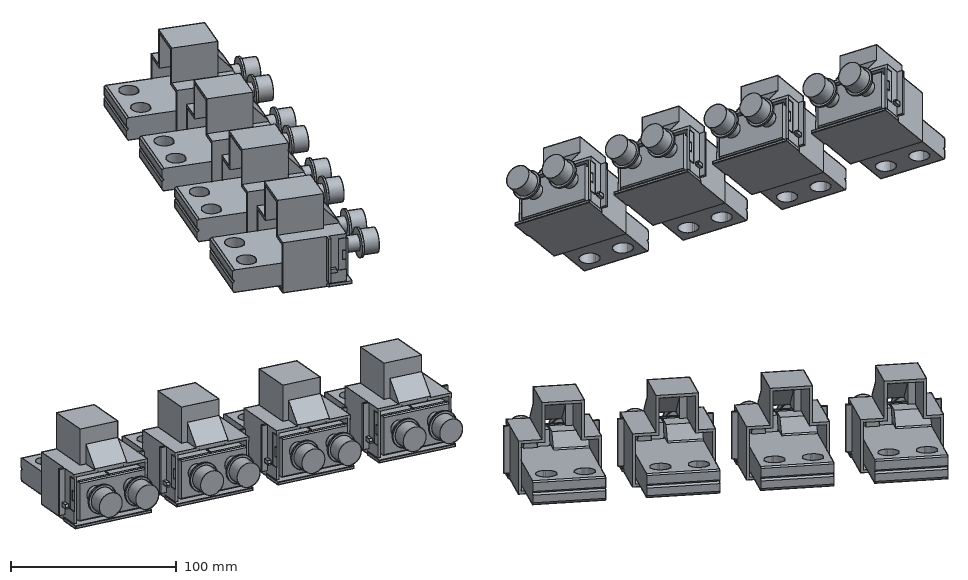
import cadquery as cq

ROW_LENGTH = 268.5
TERMINAL_COUNT = 4

WALL = 2.0
SLEEVE_WIDTH = 51.0
SLEEVE_DEPTH = 40.3
SLEEVE_HEIGHT = 34.0

TOWER_WIDTH = 26.0
TOWER_LEFT = -11.0
TOWER_DEPTH = 29.3
HOUSING_HEIGHT = 57.7

DUCT_WIDTH = 22.0
DUCT_INNER_WIDTH = 17.7
DUCT_TOP = 47.0
DUCT_HEEL = 0.8
DUCT_ROOF_DROP = 2.7

FLANGE_SPAN = 58.5
FLANGE_THICKNESS = 1.5
FLANGE_BOTTOM = 4.0
FLANGE_BACK = TOWER_DEPTH
FLANGE_FRONT = FLANGE_BACK - FLANGE_THICKNESS

FOOT_OVERHANG = 0.8
FOOT_BACK = 43.8
FOOT_FRONT_TAPER = 1.5
FOOT_BEVEL = 0.3

TAB_REACH = 2.1
TAB_BOTTOM = 9.7
TAB_HEIGHT = 2.7
TAB_BACK = 34.0
TAB_BEVEL_DEPTH = 0.8
TAB_BEVEL_HEIGHT = 1.5

RECESS_DEPTH = 0.3
RECESS_LENGTH = 4.8
RECESS_BOTTOM = 10.0
RECESS_HEIGHT = 21.2
RIB_WIDTH = 2.5
RIB_LENGTH = 6.2
RIB_RISE = 0.5

CONDUCTOR_LENGTH = 93.7
BAR_WIDTH = 44.8
BAR_FRONT = -31.0
BAR_BOTTOM = 3.5
BAR_TOP = 18.8
BAR_MIDDLE = (BAR_BOTTOM + BAR_TOP) / 2
GROOVE_DEPTH = 1.2
TOP_BEVEL_DEPTH = 1.3
TOP_BEVEL_HEIGHT = 0.8
BOTTOM_BEVEL_DEPTH = 1.0
BOTTOM_BEVEL_HEIGHT = 1.5
HOLE_SPACING = 23.5
HOLE_LENGTH = 13.0
HOLE_WIDTH = 11.8
HOLE_Y = -18.5

BLOCK_TOP = 29.3
BLOCK_BACK = 42.5
BLOCK_BEVEL = 0.8
BACK_PLATE_THICKNESS = 2.7
HALF_TOP = 28.5
HALF_GAP = 0.8
LEFT_BASE_Y = 31.0
LEFT_RUN = 2.1
RIGHT_BASE_Y = 23.5
RIGHT_RUN = 5.0
RIGHT_TOE_DEPTH = 1.0
RIGHT_TOE_HEIGHT = 0.8

SCREW_SPACING = 25.2
SCREW_Z = 20.0
SHANK_DIAMETER = 10.2
TIP_DIAMETER = 8.5
HEAD_DIAMETER = 15.8
WASHER_DIAMETER = 18.8
WASHER_THICKNESS = 1.3
HEAD_FRONT = 53.0
SCREW_BACK = BAR_FRONT + CONDUCTOR_LENGTH
TIP_FRONT = 29.0


def block(x_range, y_range, z_range):
    """Box between two limits on each axis."""
    sizes = [high - low for low, high in (x_range, y_range, z_range)]
    corner = (x_range[0], y_range[0], z_range[0])
    return cq.Workplane("XY").box(*sizes, centered=False).translate(corner)


def side_prism(points, x_low, x_high):
    """Closed (Y, Z) outline extruded from x_low to x_high."""
    return cq.Workplane("YZ", origin=(x_low, 0, 0)).polyline(points).close().extrude(x_high - x_low)


def rod(x, diameter, y_front, y_back):
    """Round rod along Y at the screw height."""
    plane = cq.Workplane("XZ", origin=(x, y_back, SCREW_Z))
    return plane.circle(diameter / 2).extrude(y_back - y_front)


def sleeve_and_tower():
    """Outer shape and inner space of the sleeve, tower and duct."""
    half = SLEEVE_WIDTH / 2
    tower_right = TOWER_LEFT + TOWER_WIDTH
    roof = SLEEVE_HEIGHT - WALL
    duct_outline = [
        (TOWER_DEPTH - WALL, roof),
        (SLEEVE_DEPTH, roof),
        (SLEEVE_DEPTH, SLEEVE_HEIGHT + DUCT_HEEL),
        (TOWER_DEPTH, DUCT_TOP),
        (TOWER_DEPTH - WALL, DUCT_TOP),
    ]
    slope = (DUCT_TOP - SLEEVE_HEIGHT - DUCT_HEEL) / (SLEEVE_DEPTH - TOWER_DEPTH)
    duct_inner_top = DUCT_TOP - DUCT_ROOF_DROP + slope * WALL
    duct_inner_back = TOWER_DEPTH - WALL + (duct_inner_top - roof) / slope
    duct_space_outline = [
        (TOWER_DEPTH - WALL, roof),
        (duct_inner_back, roof),
        (TOWER_DEPTH - WALL, duct_inner_top),
    ]
    duct_inner_left = TOWER_LEFT + WALL

    outer = block((-half, half), (0, SLEEVE_DEPTH), (0, SLEEVE_HEIGHT))
    outer = outer.union(block((TOWER_LEFT, tower_right), (0, TOWER_DEPTH), (roof, HOUSING_HEIGHT)))
    outer = outer.union(side_prism(duct_outline, TOWER_LEFT, TOWER_LEFT + DUCT_WIDTH))

    sleeve_space = block((WALL - half, half - WALL), (0, SLEEVE_DEPTH), (WALL, roof))
    tower_space = block(
        (TOWER_LEFT + WALL, tower_right - WALL),
        (0, TOWER_DEPTH - WALL),
        (WALL, HOUSING_HEIGHT - WALL),
    )
    duct_space = side_prism(duct_space_outline, duct_inner_left, duct_inner_left + DUCT_INNER_WIDTH)
    return outer.cut(sleeve_space).cut(tower_space).cut(duct_space)


def right_rib():
    """Upright rib with a round crest on the floor of the +X recess."""
    floor = SLEEVE_WIDTH / 2 - RECESS_DEPTH
    root = floor - WALL / 2
    rib_front = SLEEVE_DEPTH - RIB_WIDTH
    rib = cq.Workplane("XY", origin=(0, 0, SCREW_Z - RIB_LENGTH / 2)).moveTo(root, rib_front)
    rib = rib.lineTo(floor, rib_front)
    rib = rib.threePointArc((floor + RIB_RISE, SLEEVE_DEPTH - RIB_WIDTH / 2), (floor, SLEEVE_DEPTH))
    return rib.lineTo(root, SLEEVE_DEPTH).close().extrude(RIB_LENGTH)


def right_side_fittings():
    """Wing, tab and rib of the +X side, starting at the side face."""
    face = SLEEVE_WIDTH / 2
    inside = face - WALL / 2
    wing = block((inside, FLANGE_SPAN / 2), (FLANGE_FRONT, FLANGE_BACK), (FLANGE_BOTTOM, SLEEVE_HEIGHT))
    tab_top = TAB_BOTTOM + TAB_HEIGHT
    tab_outline = [
        (FLANGE_BACK, TAB_BOTTOM),
        (TAB_BACK, TAB_BOTTOM),
        (TAB_BACK, tab_top - TAB_BEVEL_HEIGHT),
        (TAB_BACK - TAB_BEVEL_DEPTH, tab_top),
        (FLANGE_BACK, tab_top),
    ]
    tab = side_prism(tab_outline, inside, face + TAB_REACH)
    return wing.union(tab).union(right_rib())


def right_recess():
    """Shallow recess in the +X side, open to the back."""
    face = SLEEVE_WIDTH / 2
    return block(
        (face - RECESS_DEPTH, face),
        (SLEEVE_DEPTH - RECESS_LENGTH, SLEEVE_DEPTH),
        (RECESS_BOTTOM, RECESS_BOTTOM + RECESS_HEIGHT),
    )


def foot():
    """Foot plate, tapering to the sleeve width at its front and bevelled around its back."""
    narrow = SLEEVE_WIDTH / 2
    wide = narrow + FOOT_OVERHANG
    outline = [
        (-narrow, FLANGE_FRONT),
        (narrow, FLANGE_FRONT),
        (wide, FLANGE_FRONT + FOOT_FRONT_TAPER),
        (wide, FOOT_BACK),
        (-wide, FOOT_BACK),
        (-wide, FLANGE_FRONT + FOOT_FRONT_TAPER),
    ]
    return cq.Workplane("XY").polyline(outline).close().extrude(WALL).faces(">Y").chamfer(FOOT_BEVEL)


def housing():
    """Insulating housing."""
    recess = right_recess()
    fittings = right_side_fittings()
    body = sleeve_and_tower().union(foot())
    body = body.cut(recess).cut(recess.mirror("YZ"))
    return body.union(fittings).union(fittings.mirror("YZ"))


def bar():
    """Flat bar with bevelled front edges, a V-groove across its front and two oblong holes."""
    outline = [
        (BLOCK_BACK - BLOCK_BEVEL, BAR_BOTTOM),
        (BAR_FRONT + BOTTOM_BEVEL_DEPTH, BAR_BOTTOM),
        (BAR_FRONT, BAR_BOTTOM + BOTTOM_BEVEL_HEIGHT),
        (BAR_FRONT, BAR_MIDDLE - GROOVE_DEPTH),
        (BAR_FRONT + GROOVE_DEPTH, BAR_MIDDLE),
        (BAR_FRONT, BAR_MIDDLE + GROOVE_DEPTH),
        (BAR_FRONT, BAR_TOP - TOP_BEVEL_HEIGHT),
        (BAR_FRONT + TOP_BEVEL_DEPTH, BAR_TOP),
        (BLOCK_BACK, BAR_TOP),
        (BLOCK_BACK, BAR_BOTTOM + BLOCK_BEVEL),
    ]
    plate = side_prism(outline, -BAR_WIDTH / 2, BAR_WIDTH / 2)
    hole_centers = [(-HOLE_SPACING / 2, HOLE_Y), (HOLE_SPACING / 2, HOLE_Y)]
    holes = cq.Workplane("XY").pushPoints(hole_centers).slot2D(HOLE_LENGTH, HOLE_WIDTH).extrude(BAR_TOP)
    return plate.cut(holes)


def back_plate():
    """Upright plate at the back of the bar, with its top back edge bevelled."""
    front = BLOCK_BACK - BACK_PLATE_THICKNESS
    outline = [
        (front, BAR_TOP),
        (front, BLOCK_TOP),
        (BLOCK_BACK - BLOCK_BEVEL, BLOCK_TOP),
        (BLOCK_BACK, BLOCK_TOP - BLOCK_BEVEL),
        (BLOCK_BACK, BAR_TOP),
    ]
    return side_prism(outline, -BAR_WIDTH / 2, BAR_WIDTH / 2)


def left_half():
    """Clamp half with a leaning front face."""
    back = BLOCK_BACK - BACK_PLATE_THICKNESS
    outline = [
        (LEFT_BASE_Y, BAR_TOP),
        (LEFT_BASE_Y + LEFT_RUN, HALF_TOP),
        (back, HALF_TOP),
        (back, BAR_TOP),
    ]
    return side_prism(outline, -BAR_WIDTH / 2, -HALF_GAP / 2)


def right_half():
    """Clamp half that reaches further forward, with a small sloped toe below its leaning face."""
    back = BLOCK_BACK - BACK_PLATE_THICKNESS
    outline = [
        (RIGHT_BASE_Y - RIGHT_TOE_DEPTH, BAR_TOP),
        (RIGHT_BASE_Y, BAR_TOP + RIGHT_TOE_HEIGHT),
        (RIGHT_BASE_Y + RIGHT_RUN, HALF_TOP),
        (back, HALF_TOP),
        (back, BAR_TOP),
    ]
    return side_prism(outline, HALF_GAP / 2, BAR_WIDTH / 2)


def screw(x):
    """Clamp screw with a narrower tip, a washer and a round head."""
    shank = rod(x, SHANK_DIAMETER, BLOCK_BACK - BACK_PLATE_THICKNESS, SCREW_BACK)
    tip = rod(x, TIP_DIAMETER, TIP_FRONT, BLOCK_BACK)
    washer = rod(x, WASHER_DIAMETER, HEAD_FRONT - WASHER_THICKNESS, HEAD_FRONT)
    head = rod(x, HEAD_DIAMETER, HEAD_FRONT, SCREW_BACK)
    return shank.union(tip).union(washer).union(head)


def conductor():
    """Bar, clamp block and screws as one body."""
    body = bar().union(back_plate()).union(left_half()).union(right_half())
    for x in (-SCREW_SPACING / 2, SCREW_SPACING / 2):
        body = body.union(screw(x))
    return body


pitch = (ROW_LENGTH - FLANGE_SPAN) / (TERMINAL_COUNT - 1)
one_housing = housing()
one_conductor = conductor()
bodies = []
for index in range(TERMINAL_COUNT):
    offset = (pitch * (index - (TERMINAL_COUNT - 1) / 2), 0, 0)
    bodies.append(one_housing.translate(offset).val())
    bodies.append(one_conductor.translate(offset).val())

result = cq.Compound.makeCompound(bodies)